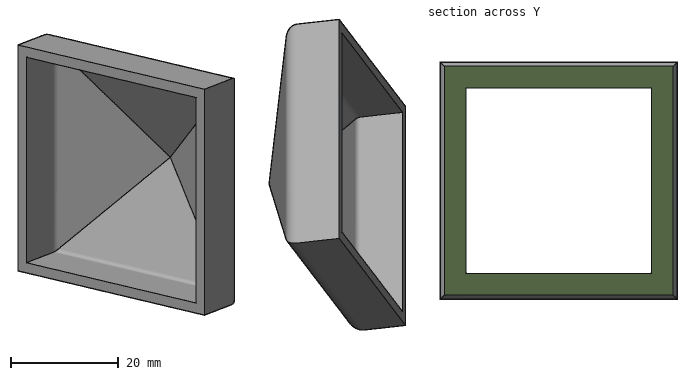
import cadquery as cq
import math

width = 44.0
height = 20.0
eave_height = 10.0
edge_radius = 3.0
wall = 2.0

roof_angle = math.atan2(height - eave_height, width / 2)


def gable_prism(half_width, eave, apex, radius, length):
    """Gabled bar along Z with rounded eaves, its floor on Y = 0."""
    tangent_length = radius * math.tan((math.pi / 2 - roof_angle) / 2)
    wall_end_y = eave - tangent_length
    roof_start_x = half_width - tangent_length * math.cos(roof_angle)
    roof_start_y = eave + tangent_length * math.sin(roof_angle)
    mid_angle = (math.pi / 2 - roof_angle) / 2
    arc_mid_x = half_width - radius + radius * math.cos(mid_angle)
    arc_mid_y = wall_end_y + radius * math.sin(mid_angle)
    return (
        cq.Workplane("XY")
        .moveTo(-half_width, 0)
        .lineTo(half_width, 0)
        .lineTo(half_width, wall_end_y)
        .threePointArc((arc_mid_x, arc_mid_y), (roof_start_x, roof_start_y))
        .lineTo(0, apex)
        .lineTo(-roof_start_x, roof_start_y)
        .threePointArc((-arc_mid_x, arc_mid_y), (-half_width, wall_end_y))
        .close()
        .extrude(length / 2, both=True)
    )


def rounded_pyramid(half_width, eave, apex, radius):
    """Square block with a pyramid roof: two crossed gable prisms intersected."""
    prism = gable_prism(half_width, eave, apex, radius, 2 * half_width)
    crossed_prism = prism.rotate((0, 0, 0), (0, 1, 0), 90)
    return prism.intersect(crossed_prism)


cavity_half_width = width / 2 - wall
cavity_apex = height - wall / math.cos(roof_angle)
cavity_eave = cavity_apex - cavity_half_width * math.tan(roof_angle)

outer = rounded_pyramid(width / 2, eave_height, height, edge_radius)
cavity = rounded_pyramid(cavity_half_width, cavity_eave, cavity_apex, edge_radius - wall)

result = outer.cut(cavity)